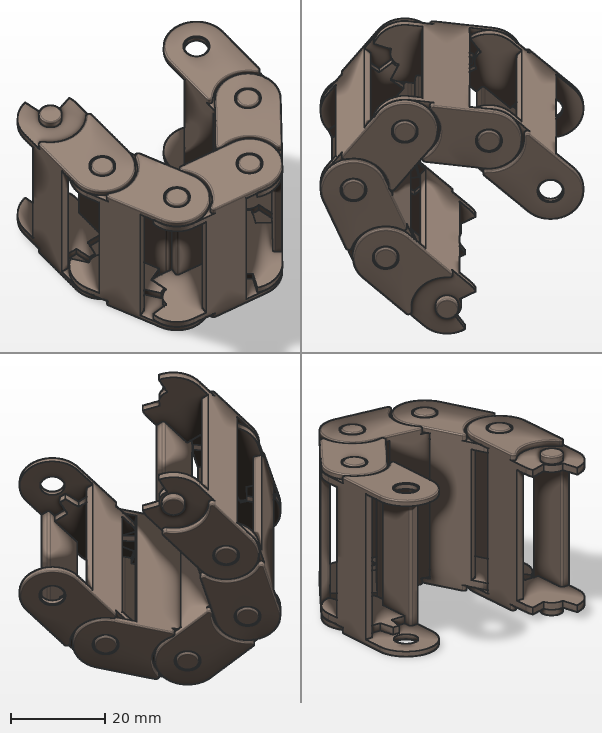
import cadquery as cq
import math


pitch = 18.0
joint_turns = [0, 23.85, 59.6, 60.0, 36.17]

end_radius = 7.0
half_width = end_radius

tongue_bottom = 15.0
tongue_top = 16.6
plate_bottom = 16.7
plate_top = 18.0
pin_top = 18.3

pin_radius = 2.45
pin_fillet = 0.3
socket_radius = 2.6
socket_chamfer = 0.2

recess_radius = 7.52
recess_tip_radius = 0.7
plate_fillet = 0.3

tongue_end_x = 11.0
core_radius = 3.05
notch_start_angle = 107.5
notch_end_angle = 192.5
stop_half_angle = 12.3
stop_inner_radius = 3.5

web_start_x = 3.0
web_end_x = 13.0
web_thickness = 2.0
web_fillet = 0.5


def polar(radius, angle):
    """Point at a radius and an angle in degrees about the origin."""
    return (radius * math.cos(math.radians(angle)), radius * math.sin(math.radians(angle)))


def layer(bottom):
    """Sketch plane at a height above the middle plane."""
    return cq.Workplane("XY", origin=(0, 0, bottom))


def sector(inner_radius, outer_radius, start_angle, end_angle, bottom, top):
    """Ring sector about the origin."""
    middle_angle = (start_angle + end_angle) / 2
    return (
        layer(bottom)
        .moveTo(*polar(inner_radius, start_angle))
        .lineTo(*polar(outer_radius, start_angle))
        .threePointArc(polar(outer_radius, middle_angle), polar(outer_radius, end_angle))
        .lineTo(*polar(inner_radius, end_angle))
        .threePointArc(polar(inner_radius, middle_angle), polar(inner_radius, start_angle))
        .close()
        .extrude(top - bottom)
    )


def make_tongue():
    """Inner plate around the pin, with the notch in which the neighbour's stop swings."""
    tongue = (
        layer(tongue_bottom)
        .moveTo(0, half_width)
        .threePointArc((-end_radius, 0), (0, -half_width))
        .lineTo(tongue_end_x, -half_width)
        .lineTo(tongue_end_x, half_width)
        .close()
        .extrude(tongue_top - tongue_bottom)
    )
    notch = sector(
        core_radius, 2 * end_radius, notch_start_angle, notch_end_angle, tongue_bottom, tongue_top
    )
    return tongue.cut(notch)


def socket_half(bottom, top):
    """Block covering the socket end of the link, past the straight end of the tongue."""
    return (
        layer(bottom)
        .center(tongue_end_x + pitch / 2, 0)
        .rect(pitch, 4 * half_width)
        .extrude(top - bottom)
    )


def make_stop():
    """Radial tooth at the socket end, pointing from the tongue towards the socket axis."""
    tooth = sector(
        stop_inner_radius,
        2 * (pitch - tongue_end_x),
        180 - stop_half_angle,
        180 + stop_half_angle,
        tongue_bottom,
        plate_bottom,
    ).translate((pitch, 0, 0))
    return tooth.intersect(socket_half(tongue_bottom, plate_bottom))


def plate_outline(bottom):
    """Outer plate outline: rounded socket end, concave pin end with rounded tips."""
    tip_y = half_width - recess_tip_radius
    tip_x = math.sqrt((recess_radius + recess_tip_radius) ** 2 - tip_y**2)
    tip_angle = math.degrees(math.atan2(tip_y, tip_x))
    recess_end_x, recess_end_y = polar(recess_radius, tip_angle)
    middle_offset_x, middle_offset_y = polar(recess_tip_radius, (90 + 180 + tip_angle) / 2)
    tip_middle_x = tip_x + middle_offset_x
    tip_middle_y = tip_y + middle_offset_y
    return (
        layer(bottom)
        .moveTo(tip_x, half_width)
        .lineTo(pitch, half_width)
        .threePointArc((pitch + end_radius, 0), (pitch, -half_width))
        .lineTo(tip_x, -half_width)
        .threePointArc((tip_middle_x, -tip_middle_y), (recess_end_x, -recess_end_y))
        .threePointArc((recess_radius, 0), (recess_end_x, recess_end_y))
        .threePointArc((tip_middle_x, tip_middle_y), (tip_x, half_width))
        .close()
    )


def make_plate():
    """Outer plate carrying the socket, lifted clear of the neighbour's tongue beyond its own."""
    plate = plate_outline(tongue_top).extrude(plate_top - tongue_top)
    plate = plate.faces(">Z").edges().fillet(plate_fillet)
    clearance = socket_half(tongue_top, plate_bottom)
    socket = layer(tongue_top).center(pitch, 0).circle(socket_radius).extrude(plate_top - tongue_top)
    countersink = (
        layer(plate_top - socket_chamfer)
        .center(pitch, 0)
        .circle(socket_radius)
        .workplane(offset=socket_chamfer)
        .circle(socket_radius + socket_chamfer)
        .loft()
    )
    return plate.cut(clearance).cut(socket).cut(countersink)


def make_pin():
    """Round-edged pin on top of the tongue."""
    pin = layer(tongue_bottom).circle(pin_radius).extrude(pin_top - tongue_bottom)
    return pin.faces(">Z").fillet(pin_fillet)


def make_web(side):
    """Cross web along one edge of the link, its inner corners rounded."""
    web = (
        cq.Workplane("XY")
        .center((web_start_x + web_end_x) / 2, side * (half_width - web_thickness / 2))
        .rect(web_end_x - web_start_x, web_thickness)
        .extrude(plate_bottom, both=True)
    )
    web = web.edges("|Z").edges("<Y" if side > 0 else ">Y").fillet(web_fillet)
    for trim_bottom in (tongue_top, -plate_bottom):
        trim = layer(trim_bottom).rect(2 * tongue_end_x, 4 * half_width).extrude(plate_bottom - tongue_top)
        web = web.cut(trim)
    return web


def make_link():
    """One complete link, pin axis at the origin and socket along +X."""
    cheek = make_tongue().union(make_plate()).union(make_stop()).union(make_pin())
    link = cheek.union(cheek.mirror("XY"))
    for side in (1, -1):
        link = link.union(make_web(side))
    return link


links = []
heading = 0.0
pin_x = 0.0
pin_y = 0.0
for turn in joint_turns:
    heading += turn
    link = make_link().rotate((0, 0, 0), (0, 0, 1), heading).translate((pin_x, pin_y, 0))
    links.append(link.solids().val())
    step_x, step_y = polar(pitch, heading)
    pin_x += step_x
    pin_y += step_y

result = cq.Compound.makeCompound(links)